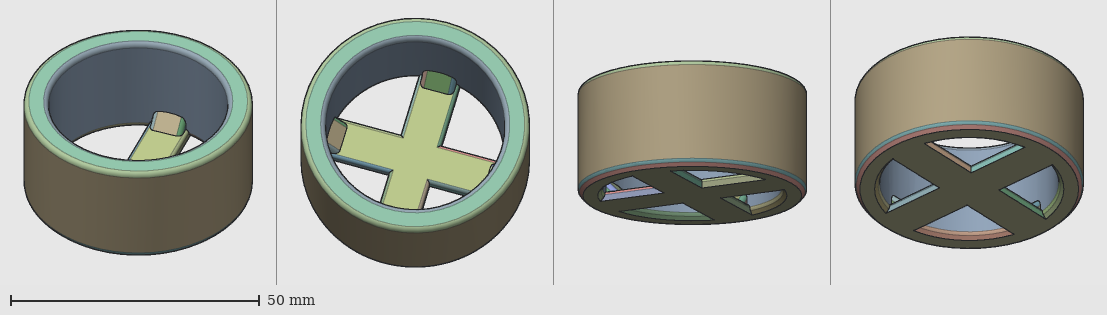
import cadquery as cq

outer_diameter = 46.0
bore_diameter = 36.0
height = 22.0
edge_size = 1.0

arm_width = 8.45
arm_thickness = 2.0
arm_edge_radius = 0.7

gusset_width = arm_width - 2 * arm_edge_radius
gusset_size = 3.0

outer_radius = outer_diameter / 2
bore_radius = bore_diameter / 2
wall_middle_radius = (outer_radius + bore_radius) / 2
pick_tolerance = 0.05


def make_ring():
    """Tube with rounded top rims and a chamfer, softened at its upper edge, on both bottom rims."""
    ring = cq.Workplane("XY").circle(outer_radius).circle(bore_radius).extrude(height)
    ring = ring.faces(">Z").edges().fillet(edge_size)
    ring = ring.faces("<Z").edges().chamfer(edge_size)
    chamfer_tops = cq.selectors.BoxSelector(
        (-outer_diameter, -outer_diameter, edge_size - pick_tolerance),
        (outer_diameter, outer_diameter, edge_size + pick_tolerance),
        boundingbox=True,
    )
    return ring.edges(chamfer_tops).fillet(edge_size)


def make_cross():
    """Two crossing arms with rounded upper edges, ending inside the ring wall."""
    arm_length = 2 * wall_middle_radius
    arm_x = cq.Workplane("XY").rect(arm_length, arm_width).extrude(arm_thickness)
    arm_y = cq.Workplane("XY").rect(arm_width, arm_length).extrude(arm_thickness)
    cross = arm_x.union(arm_y)
    return cross.faces(">Z").edges().fillet(arm_edge_radius)


def make_gusset():
    """45 degree wedge on the +X arm; its slope starts at the underside and surfaces at the toe."""
    slope_start = bore_radius - gusset_size - arm_thickness
    slope_rise = wall_middle_radius - slope_start
    gusset = (
        cq.Workplane("XZ")
        .moveTo(slope_start, 0)
        .lineTo(wall_middle_radius, slope_rise)
        .lineTo(wall_middle_radius, 0)
        .close()
        .extrude(gusset_width / 2, both=True)
    )
    return gusset.faces(">(-1, 0, 1)").edges("not |Y").fillet(edge_size)


result = make_ring().union(make_cross())
for quarter in range(4):
    result = result.union(make_gusset().rotate((0, 0, 0), (0, 0, 1), 90 * quarter))